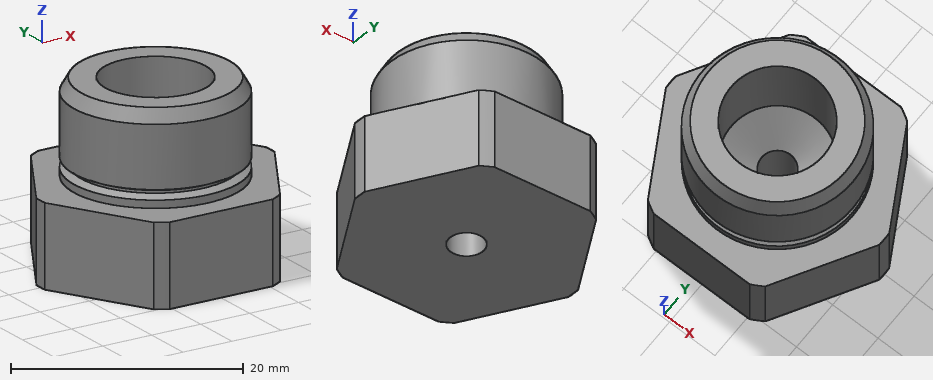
import cadquery as cq
import math

across_flats = 21.0
turned_corner_diameter = 23.5
head_height = 8.0

total_height = 17.0
spigot_diameter = 16.55
tip_diameter = 15.05
tip_chamfer_height = 1.3

groove_diameter = 15.0
collar_height = 0.75
groove_side_height = 0.35
groove_floor_width = 0.25

bore_diameter = 10.2
through_diameter = 3.5
bore_depth = total_height - head_height
drill_point_angle = 118.0


def make_head():
    """Hexagon with flats facing -Y and +Y, its sharp corners turned down to a cylinder."""
    sharp_corner_diameter = across_flats / math.cos(math.radians(30))
    hexagon = cq.Workplane("XY").polygon(6, sharp_corner_diameter).extrude(head_height)
    turned_blank = cq.Workplane("XY").circle(turned_corner_diameter / 2).extrude(head_height)
    return hexagon.intersect(turned_blank)


def make_spigot():
    """Revolved spigot with its groove and tip chamfer."""
    outer = spigot_diameter / 2
    groove = groove_diameter / 2
    groove_start = head_height + collar_height
    floor_start = groove_start + groove_side_height
    floor_end = floor_start + groove_floor_width
    groove_end = floor_end + groove_side_height
    profile = [
        (0, 0),
        (outer, 0),
        (outer, groove_start),
        (groove, floor_start),
        (groove, floor_end),
        (outer, groove_end),
        (outer, total_height - tip_chamfer_height),
        (tip_diameter / 2, total_height),
        (0, total_height),
    ]
    return cq.Workplane("XZ").polyline(profile).close().revolve(360, (0, 0), (0, 1))


def make_bore():
    """Revolved cutter for the whole stepped bore."""
    bore = bore_diameter / 2
    through = through_diameter / 2
    bore_floor = total_height - bore_depth
    cone_height = (bore - through) / math.tan(math.radians(drill_point_angle / 2))
    profile = [
        (0, 0),
        (through, 0),
        (through, bore_floor - cone_height),
        (bore, bore_floor),
        (bore, total_height),
        (0, total_height),
    ]
    return cq.Workplane("XZ").polyline(profile).close().revolve(360, (0, 0), (0, 1))


result = make_head().union(make_spigot()).cut(make_bore())